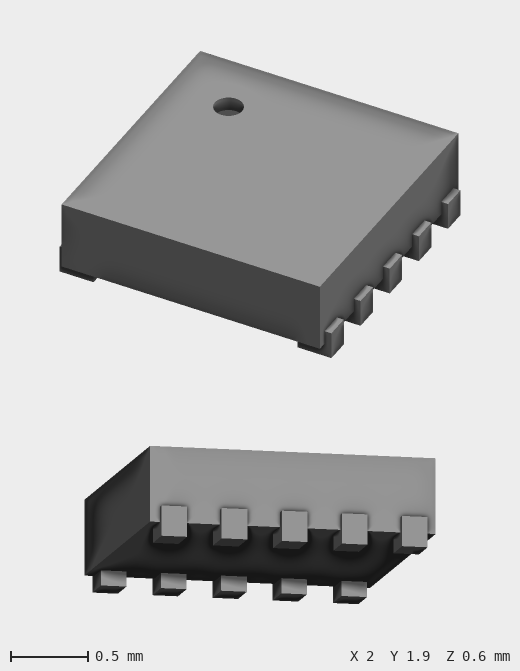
import cadquery as cq

body_side = 1.9
body_height = 0.5
standoff = 0.1

overall_length = 2.0
terminal_length = 0.25
terminal_width = 0.17
terminal_height = 0.2
terminal_pitch = 0.4
terminals_per_side = 5

marker_diameter = 0.2
marker_depth = 0.1
marker_offset = 0.5


def make_body():
    """Square block raised above the seating plane, with the marker recess."""
    block = cq.Workplane("XY").workplane(offset=standoff).rect(body_side, body_side).extrude(body_height)
    return (
        block.faces(">Z")
        .workplane(origin=(0, 0, 0))
        .center(-marker_offset, marker_offset)
        .hole(marker_diameter, marker_depth)
    )


def make_terminals():
    """Both rows of terminals, standing on the seating plane."""
    row_spacing = overall_length - terminal_length
    return (
        cq.Workplane("XY")
        .rarray(row_spacing, terminal_pitch, 2, terminals_per_side)
        .rect(terminal_length, terminal_width)
        .extrude(terminal_height)
    )


result = make_body().union(make_terminals())